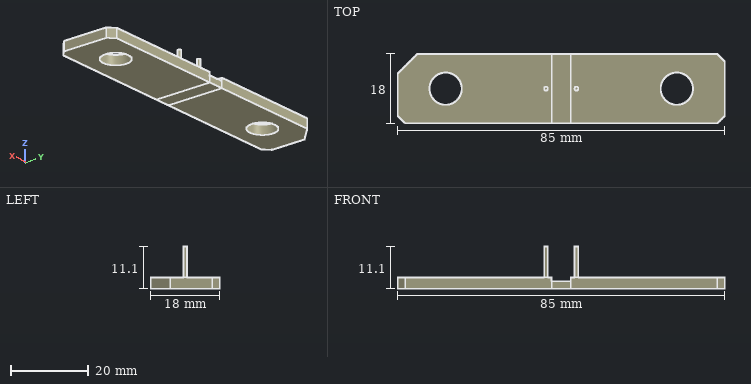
import cadquery as cq

length = 85.0
width = 18.0
plate_thickness = 3.0
total_height = 11.05

strip_length = 4.9
strip_thickness = 2.0

plate_length = (length - strip_length) / 2
small_corner = 1.95
large_corner = 5.1
bolt_hole_diameter = 8.3
bolt_hole_spacing = 60.0
bolt_hole_offset = bolt_hole_spacing / 2

pin_diameter = 1.0
pin_spacing = 7.9
pin_height = total_height - plate_thickness


def make_plate(side, back_corner, front_corner):
    """Terminal plate on the -X (side = -1) or +X (side = 1) half, with chamfered outer corners."""
    inner_x = side * strip_length / 2
    outer_x = side * length / 2
    half_width = width / 2
    plate = (
        cq.Workplane("XY")
        .moveTo(inner_x, -half_width)
        .lineTo(outer_x - side * front_corner, -half_width)
        .lineTo(outer_x, front_corner - half_width)
        .lineTo(outer_x, half_width - back_corner)
        .lineTo(outer_x - side * back_corner, half_width)
        .lineTo(inner_x, half_width)
        .close()
        .extrude(plate_thickness)
    )
    bolt_hole = (
        cq.Workplane("XY")
        .center(side * bolt_hole_offset, 0)
        .circle(bolt_hole_diameter / 2)
        .extrude(plate_thickness)
    )
    return plate.cut(bolt_hole)


def make_strip():
    """Thin strip joining the inner ends of the plates, flush with their undersides."""
    return cq.Workplane("XY").box(strip_length, width, strip_thickness, centered=(True, True, False))


def make_pin(side):
    """Round sense pin standing on the top face of one plate."""
    return (
        cq.Workplane("XY", origin=(side * pin_spacing / 2, 0, plate_thickness))
        .circle(pin_diameter / 2)
        .extrude(pin_height)
    )


left_plate = make_plate(-1, large_corner, small_corner)
right_plate = make_plate(1, small_corner, small_corner)
strip = make_strip()
pins = [make_pin(side) for side in (-1, 1)]

result = cq.Compound.makeCompound(
    [left_plate.val(), right_plate.val(), strip.val(), *[pin.val() for pin in pins]]
)